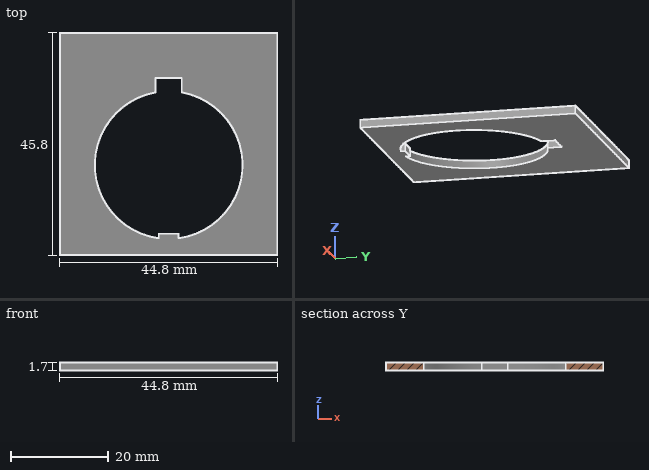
import cadquery as cq

plate_width = 44.8
plate_length = 45.75
plate_thickness = 1.7

opening_radius = 15.2
opening_center_y = -4.35

notch_width = 5.35
notch_top_y = 13.55

tab_width = 4.1
tab_top_y = -18.5


def centered_block(width, bottom_y, top_y):
    """Full-thickness block centred on X, between two Y positions."""
    return (
        cq.Workplane("XY")
        .center(0, (bottom_y + top_y) / 2)
        .rect(width, top_y - bottom_y)
        .extrude(plate_thickness)
    )


def opening():
    """Round opening with the notch added and the tab left standing."""
    disc = (
        cq.Workplane("XY")
        .center(0, opening_center_y)
        .circle(opening_radius)
        .extrude(plate_thickness)
    )
    notch = centered_block(notch_width, opening_center_y, notch_top_y)
    tab = centered_block(tab_width, -plate_length / 2, tab_top_y)
    return disc.union(notch).cut(tab)


plate = cq.Workplane("XY").rect(plate_width, plate_length).extrude(plate_thickness)
result = plate.cut(opening())